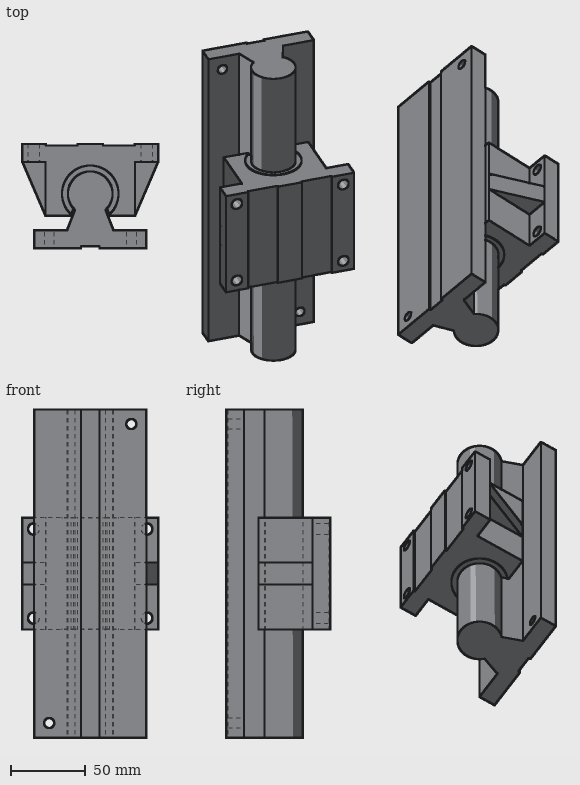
import cadquery as cq
import math

rail_length = 220.0
foot_width = 75.0
foot_thickness = 12.0
bar_radius = 15.0
bar_center_y = 36.5
neck_root_half_width = 15.6
neck_top_half_width = 10.3
foot_groove_width = 12.3
foot_groove_depth = 1.3
foot_hole_diameter = 6.5
foot_hole_x = 27.5
foot_hole_end_distance = 10.0

total_depth = 70.0
carriage_length = 75.0
flange_width = 91.0
flange_thickness = 12.0
block_width = 60.0
block_depth = 48.2
gusset_thickness = 15.0
flange_hole_diameter = 7.5
flange_hole_edge_distance = 7.7
mount_groove_inner_x = 8.5
mount_groove_outer_x = 29.7
mount_groove_depth = 1.0
counterbore_radius = 19.0
counterbore_depth = 0.5
slot_clearance = 1.0

mount_face_y = total_depth
flange_front_y = mount_face_y - flange_thickness
block_front_y = mount_face_y - block_depth
bar_neck_y = bar_center_y - math.sqrt(bar_radius**2 - neck_top_half_width**2)
neck_slope = (neck_root_half_width - neck_top_half_width) / (bar_neck_y - foot_thickness)
carriage_bottom_z = (rail_length - carriage_length) / 2
carriage_mid_z = rail_length / 2
carriage_top_z = carriage_bottom_z + carriage_length


def box(x_min, x_max, y_min, y_max, z_min, z_max):
    """Axis-aligned box between two corners."""
    size = (x_max - x_min, y_max - y_min, z_max - z_min)
    return cq.Workplane("XY").box(*size, centered=False).translate((x_min, y_min, z_min))


def bar_cylinder(radius, z_min, length):
    """Cylinder on the bar axis."""
    return cq.Workplane("XY", origin=(0, bar_center_y, z_min)).circle(radius).extrude(length)


def neck_prism(clearance, z_min, length):
    """Tapered neck from the foot up to the bar axis, widened by a clearance on each side."""
    root = neck_root_half_width + clearance
    top = root - neck_slope * (bar_center_y - foot_thickness)
    outline = [(-root, foot_thickness), (root, foot_thickness), (top, bar_center_y), (-top, bar_center_y)]
    return cq.Workplane("XY", origin=(0, 0, z_min)).polyline(outline).close().extrude(length)


def through_holes(places, diameter):
    """Round holes along Y through the full depth, at (x, z) places."""
    return cq.Workplane("XZ").pushPoints(places).circle(diameter / 2).extrude(-total_depth)


def make_rail():
    foot = box(-foot_width / 2, foot_width / 2, 0, foot_thickness, 0, rail_length)
    neck = neck_prism(0, 0, rail_length)
    bar = bar_cylinder(bar_radius, 0, rail_length)
    groove = box(-foot_groove_width / 2, foot_groove_width / 2, 0, foot_groove_depth, 0, rail_length)
    hole_places = [
        (foot_hole_x, rail_length - foot_hole_end_distance),
        (-foot_hole_x, foot_hole_end_distance),
    ]
    holes = through_holes(hole_places, foot_hole_diameter)
    return foot.cut(groove).cut(holes).union(neck).union(bar)


def make_gussets():
    """Triangular ribs that brace the flange against both sides of the block, as one slab through it."""
    gusset_bottom_z = carriage_mid_z - gusset_thickness / 2
    outline = [
        (-flange_width / 2, flange_front_y),
        (-block_width / 2, block_front_y),
        (block_width / 2, block_front_y),
        (flange_width / 2, flange_front_y),
    ]
    base_plane = cq.Workplane("XY", origin=(0, 0, gusset_bottom_z))
    return base_plane.polyline(outline).close().extrude(gusset_thickness)


def make_carriage():
    flange = box(
        -flange_width / 2, flange_width / 2, flange_front_y, mount_face_y, carriage_bottom_z, carriage_top_z
    )
    block = box(
        -block_width / 2, block_width / 2, block_front_y, mount_face_y, carriage_bottom_z, carriage_top_z
    )
    carriage = flange.union(block).union(make_gussets())

    carriage = carriage.cut(bar_cylinder(bar_radius, 0, rail_length))
    carriage = carriage.cut(neck_prism(slot_clearance, 0, rail_length))

    for z in (carriage_bottom_z, carriage_top_z - counterbore_depth):
        carriage = carriage.cut(bar_cylinder(counterbore_radius, z, counterbore_depth))

    groove_floor_y = mount_face_y - mount_groove_depth
    for x_min in (-mount_groove_outer_x, mount_groove_inner_x):
        x_max = x_min + mount_groove_outer_x - mount_groove_inner_x
        groove = box(x_min, x_max, groove_floor_y, mount_face_y, carriage_bottom_z, carriage_top_z)
        carriage = carriage.cut(groove)

    hole_x = flange_width / 2 - flange_hole_edge_distance
    hole_z = carriage_length / 2 - flange_hole_edge_distance
    hole_places = [(sx * hole_x, carriage_mid_z + sz * hole_z) for sx in (-1, 1) for sz in (-1, 1)]
    return carriage.cut(through_holes(hole_places, flange_hole_diameter))


rail = make_rail()
carriage = make_carriage()

result = cq.Compound.makeCompound([rail.val(), carriage.val()])